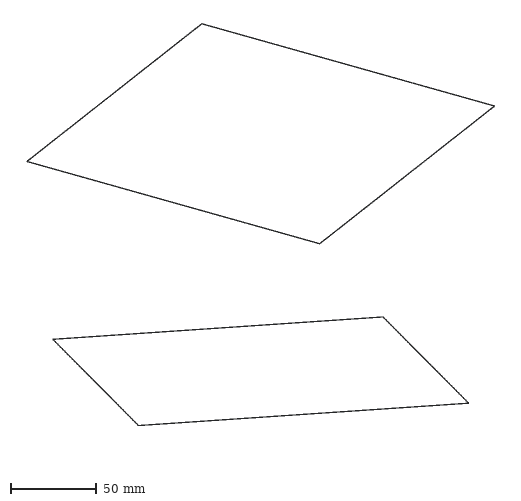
import cadquery as cq

side = 200.0
thickness = 0.13

result = cq.Workplane("XY").box(side, side, thickness, centered=(True, True, False))